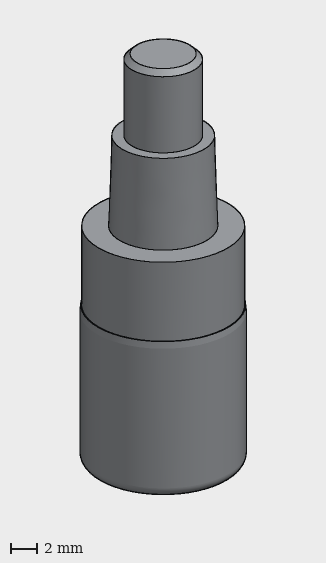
import cadquery as cq

total_height = 34.75
cap_height = 13.35
shoulder_level = 20.08
collar_top_level = 27.8

cap_radius = 6.35
cap_base_fillet = 0.85
rim_height = 0.6
rim_taper = 0.07

body_radius = 6.22
collar_base_radius = 4.17
collar_top_radius = 3.93
pin_diameter = 6.0
pin_radius = pin_diameter / 2
pin_chamfer_width = 0.5
pin_chamfer_height = 0.45


def make_cap():
    """Solid round cap with a rounded base edge and a slightly tapered rim."""
    blank = (
        cq.Workplane("XZ")
        .lineTo(cap_radius, 0)
        .lineTo(cap_radius, cap_height - rim_height)
        .lineTo(cap_radius - rim_taper, cap_height)
        .lineTo(0, cap_height)
        .close()
        .revolve(360, (0, 0, 0), (0, 1, 0))
    )
    return blank.faces("<Z").edges().fillet(cap_base_fillet)


def make_plunger():
    """Round body standing on the cap, stepping up to a tapered collar and a chamfered pin."""
    return (
        cq.Workplane("XZ")
        .moveTo(0, cap_height)
        .lineTo(body_radius, cap_height)
        .lineTo(body_radius, shoulder_level)
        .lineTo(collar_base_radius, shoulder_level)
        .lineTo(collar_top_radius, collar_top_level)
        .lineTo(pin_radius, collar_top_level)
        .lineTo(pin_radius, total_height - pin_chamfer_height)
        .lineTo(pin_radius - pin_chamfer_width, total_height)
        .lineTo(0, total_height)
        .close()
        .revolve(360, (0, 0, 0), (0, 1, 0))
    )


cap = make_cap()
plunger = make_plunger()

result = cq.Compound.makeCompound([cap.val(), plunger.val()])